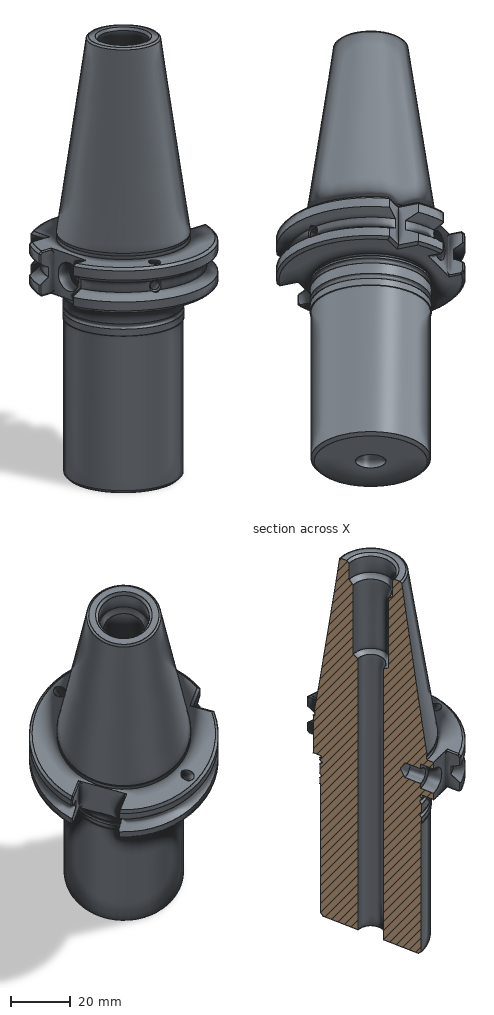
import cadquery as cq
import math

TOTAL_HEIGHT = 155.2
GAUGE_HEIGHT = 87.0
FLANGE_BOTTOM = 67.8
FLANGE_TOP = 83.8
FLANGE_HEIGHT = FLANGE_TOP - FLANGE_BOTTOM

GAUGE_RADIUS = 22.4
TAPER_RATE = 7 / 24 / 2
TAPER_END_HEIGHT = 86.0
TAPER_END_RADIUS = GAUGE_RADIUS + (GAUGE_HEIGHT - TAPER_END_HEIGHT) * TAPER_RATE
TAPER_TIP_RADIUS = GAUGE_RADIUS - (TOTAL_HEIGHT - GAUGE_HEIGHT) * TAPER_RATE
TAPER_TIP_CHAMFER = 0.6
NECK_DEPTH = 0.3

SHANK_RADIUS = 20.0
SHANK_CHAMFER = 1.1
BAND_RADIUS = 20.3
BAND_BOTTOM = 55.9
BAND_GROOVES = [(58.4, 60.2), (64.1, 66.0)]
TOP_GROOVE_BOTTOM = 66.9
BAND_GROOVE_DEPTH = 0.6

FLANGE_RADIUS = 31.7
FLANGE_CHAMFER = 1.0
GRIP_GROOVE_HEIGHT = 75.8
GRIP_GROOVE_RADIUS = 28.0
GRIP_GROOVE_FLOOR = 3.4
GRIP_GROOVE_FLANK_ANGLE = 30.0
GRIP_GROOVE_FLANK = (FLANGE_RADIUS - GRIP_GROOVE_RADIUS) * math.tan(math.radians(GRIP_GROOVE_FLANK_ANGLE))
GRIP_GROOVE_MOUTH = GRIP_GROOVE_FLOOR + 2 * GRIP_GROOVE_FLANK

SLOT_WIDTH = 16.1
SLOT_CORNER_FILLET = 0.8
SLOT_EDGE_CHAMFER = 0.5
FRONT_SLOT_FLOOR = 25.0
BACK_SLOT_FLOOR = 22.8
NOTCH_X = 18.5
NOTCH_Y = 18.5
SLOT_BORE_DIAMETER = 10.1
SLOT_BORE_DEPTH = 5.1
SLOT_HOLE_DIAMETER = 6.0
SLOT_HOLE_DEPTH = 6.2
DRILL_POINT_ANGLE = 118.0

COOLANT_DIAMETER = 3.9
COOLANT_ANGLES = [160, 340]
COOLANT_RADIUS = 27.2
COOLANT_TILT = 36.0
RADIAL_HOLE_DIAMETER = 3.3
RADIAL_HOLE_MOUTH = 4.3

THROUGH_DIAMETER = 10.1
THREAD_DIAMETER = 13.8
COUNTERBORE_DIAMETER = 17.0
COUNTERBORE_DEPTH = 7.8
COUNTERBORE_CHAMFER = 1.0
THREAD_DEPTH = 31.0

TOLERANCE = 0.02


def make_shank_and_taper():
    neck_middle = (FLANGE_TOP + TAPER_END_HEIGHT) / 2
    outline = (
        cq.Workplane("XZ")
        .moveTo(0, 0)
        .lineTo(SHANK_RADIUS - SHANK_CHAMFER, 0)
        .lineTo(SHANK_RADIUS, SHANK_CHAMFER)
        .lineTo(SHANK_RADIUS, BAND_BOTTOM)
        .lineTo(BAND_RADIUS, BAND_BOTTOM)
    )
    for bottom, top in BAND_GROOVES + [(TOP_GROOVE_BOTTOM, FLANGE_BOTTOM)]:
        outline = outline.lineTo(BAND_RADIUS, bottom).threePointArc(
            (BAND_RADIUS - BAND_GROOVE_DEPTH, (bottom + top) / 2), (BAND_RADIUS, top)
        )
    outline = (
        outline.lineTo(BAND_RADIUS, FLANGE_TOP)
        .lineTo(TAPER_END_RADIUS, FLANGE_TOP)
        .lineTo(TAPER_END_RADIUS - NECK_DEPTH, neck_middle)
        .lineTo(TAPER_END_RADIUS, TAPER_END_HEIGHT)
        .lineTo(TAPER_TIP_RADIUS, TOTAL_HEIGHT)
        .lineTo(0, TOTAL_HEIGHT)
        .close()
    )
    body = outline.revolve(360, (0, 0, 0), (0, 1, 0))
    return body.faces(">Z").edges().chamfer(TAPER_TIP_CHAMFER)


def make_slot(side, floor):
    depth = 2 * (FLANGE_RADIUS - floor)
    return (
        cq.Workplane("XY")
        .workplane(offset=FLANGE_BOTTOM)
        .center(0, side * (floor + depth / 2))
        .rect(SLOT_WIDTH, depth)
        .extrude(FLANGE_HEIGHT)
    )


def make_grip_groove():
    return (
        cq.Workplane("XZ")
        .moveTo(GRIP_GROOVE_RADIUS, GRIP_GROOVE_HEIGHT - GRIP_GROOVE_FLOOR / 2)
        .lineTo(FLANGE_RADIUS, GRIP_GROOVE_HEIGHT - GRIP_GROOVE_MOUTH / 2)
        .lineTo(FLANGE_RADIUS, GRIP_GROOVE_HEIGHT + GRIP_GROOVE_MOUTH / 2)
        .lineTo(GRIP_GROOVE_RADIUS, GRIP_GROOVE_HEIGHT + GRIP_GROOVE_FLOOR / 2)
        .close()
        .revolve(360, (0, 0, 0), (0, 1, 0))
    )


def edges_in_slot_walls(flange, at_floor):
    """Edges in the plane of the slot walls: the inner corners at the floors, or all the others."""
    chosen = []
    for edge in flange.edges().vals():
        box = edge.BoundingBox()
        in_wall = box.xlen < TOLERANCE and abs(abs(box.center.x) - SLOT_WIDTH / 2) < TOLERANCE
        inner = box.ylen < TOLERANCE and abs(box.center.y) < FRONT_SLOT_FLOOR + TOLERANCE
        if in_wall and inner == at_floor:
            chosen.append(edge)
    return flange.newObject(chosen)


def make_flange():
    notch = (
        cq.Workplane("XY")
        .workplane(offset=FLANGE_BOTTOM)
        .rect(FLANGE_RADIUS, FLANGE_RADIUS, centered=False)
        .extrude(FLANGE_HEIGHT)
        .translate((-NOTCH_X - FLANGE_RADIUS, -NOTCH_Y - FLANGE_RADIUS, 0))
    )
    disc = (
        cq.Workplane("XY")
        .workplane(offset=FLANGE_BOTTOM)
        .circle(FLANGE_RADIUS)
        .extrude(FLANGE_HEIGHT)
    )
    flange = disc.cut(notch)
    flange = flange.faces("<Z or >Z").edges().chamfer(FLANGE_CHAMFER)
    flange = flange.cut(make_slot(-1, FRONT_SLOT_FLOOR)).cut(make_slot(1, BACK_SLOT_FLOOR))
    flange = edges_in_slot_walls(flange, at_floor=False).chamfer(SLOT_EDGE_CHAMFER)
    flange = edges_in_slot_walls(flange, at_floor=True).fillet(SLOT_CORNER_FILLET)
    return flange.cut(make_grip_groove())


def make_slot_hole():
    hole_radius = SLOT_HOLE_DIAMETER / 2
    bore_radius = SLOT_BORE_DIAMETER / 2
    shoulder = -FRONT_SLOT_FLOOR + SLOT_BORE_DEPTH
    hole_end = shoulder + SLOT_HOLE_DEPTH
    point_length = hole_radius / math.tan(math.radians(DRILL_POINT_ANGLE / 2))
    return (
        cq.Workplane("XY")
        .moveTo(0, -FRONT_SLOT_FLOOR)
        .lineTo(bore_radius, -FRONT_SLOT_FLOOR)
        .lineTo(bore_radius, shoulder)
        .lineTo(hole_radius, shoulder)
        .lineTo(hole_radius, hole_end)
        .lineTo(0, hole_end + point_length)
        .close()
        .revolve(360, (0, 0, 0), (0, 1, 0))
        .translate((0, 0, GRIP_GROOVE_HEIGHT))
    )


def make_coolant_holes(angle):
    """A tilted hole from the flange face and the radial hole from the grip groove that it meets."""
    tilt = math.radians(COOLANT_TILT)
    drop = FLANGE_TOP - GRIP_GROOVE_HEIGHT
    meeting_radius = COOLANT_RADIUS - drop * math.tan(tilt)
    radius = COOLANT_DIAMETER / 2
    meeting_point = cq.Vector(meeting_radius, 0, GRIP_GROOVE_HEIGHT)
    tilted_axis = cq.Vector(math.sin(tilt), 0, math.cos(tilt))
    tilted_length = drop / math.cos(tilt) + COOLANT_DIAMETER
    tilted = cq.Solid.makeCylinder(radius, tilted_length, meeting_point, tilted_axis)
    radial_radius = RADIAL_HOLE_DIAMETER / 2
    mouth_radius = RADIAL_HOLE_MOUTH / 2
    sink_start = GRIP_GROOVE_RADIUS - (mouth_radius - radial_radius)
    radial = (
        cq.Workplane("XY")
        .moveTo(meeting_radius, 0)
        .lineTo(meeting_radius, radial_radius)
        .lineTo(sink_start, radial_radius)
        .lineTo(GRIP_GROOVE_RADIUS, mouth_radius)
        .lineTo(FLANGE_RADIUS, mouth_radius)
        .lineTo(FLANGE_RADIUS, 0)
        .close()
        .revolve(360, (0, 0, 0), (1, 0, 0))
        .translate((0, 0, GRIP_GROOVE_HEIGHT))
    )
    holes = radial.union(cq.Workplane(tilted))
    return holes.rotate((0, 0, 0), (0, 0, 1), angle)


def make_axial_bore():
    counterbore_radius = COUNTERBORE_DIAMETER / 2
    thread_radius = THREAD_DIAMETER / 2
    through_radius = THROUGH_DIAMETER / 2
    counterbore_floor = TOTAL_HEIGHT - COUNTERBORE_DEPTH
    thread_top = counterbore_floor - (counterbore_radius - thread_radius)
    thread_floor = counterbore_floor - THREAD_DEPTH
    point_length = (thread_radius - through_radius) / math.tan(math.radians(DRILL_POINT_ANGLE / 2))
    return (
        cq.Workplane("XZ")
        .moveTo(0, 0)
        .lineTo(through_radius, 0)
        .lineTo(through_radius, thread_floor - point_length)
        .lineTo(thread_radius, thread_floor)
        .lineTo(thread_radius, thread_top)
        .lineTo(counterbore_radius, counterbore_floor)
        .lineTo(counterbore_radius, TOTAL_HEIGHT - COUNTERBORE_CHAMFER)
        .lineTo(counterbore_radius + COUNTERBORE_CHAMFER, TOTAL_HEIGHT)
        .lineTo(0, TOTAL_HEIGHT)
        .close()
        .revolve(360, (0, 0, 0), (0, 1, 0))
    )


result = make_shank_and_taper().union(make_flange())
result = result.cut(make_axial_bore()).cut(make_slot_hole())
for coolant_angle in COOLANT_ANGLES:
    result = result.cut(make_coolant_holes(coolant_angle))